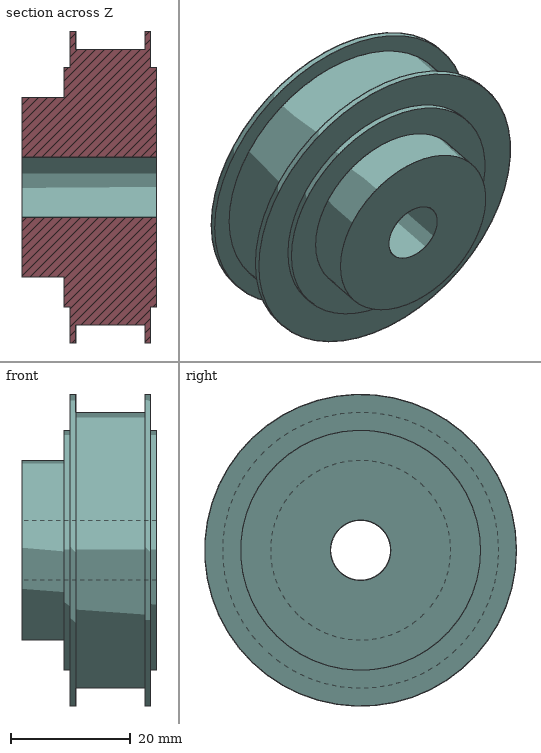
import cadquery as cq

flange_diameter = 52.0
belt_seat_diameter = 46.0
shoulder_diameter = 40.0
hub_diameter = 30.0
bore_diameter = 10.0

total_length = 22.45
hub_length = 7.0
flange_thickness = 1.0
shoulder_length = flange_thickness
belt_seat_length = total_length - hub_length - 2 * (flange_thickness + shoulder_length)

sections = [
    (hub_diameter, hub_length),
    (shoulder_diameter, shoulder_length),
    (flange_diameter, flange_thickness),
    (belt_seat_diameter, belt_seat_length),
    (flange_diameter, flange_thickness),
    (shoulder_diameter, shoulder_length),
]

body = None
start = 0.0
for diameter, length in sections:
    section = cq.Workplane("YZ", origin=(start, 0, 0)).circle(diameter / 2).extrude(length)
    body = body.union(section) if body else section
    start += length

bore = cq.Workplane("YZ").circle(bore_diameter / 2).extrude(total_length)
result = body.cut(bore)